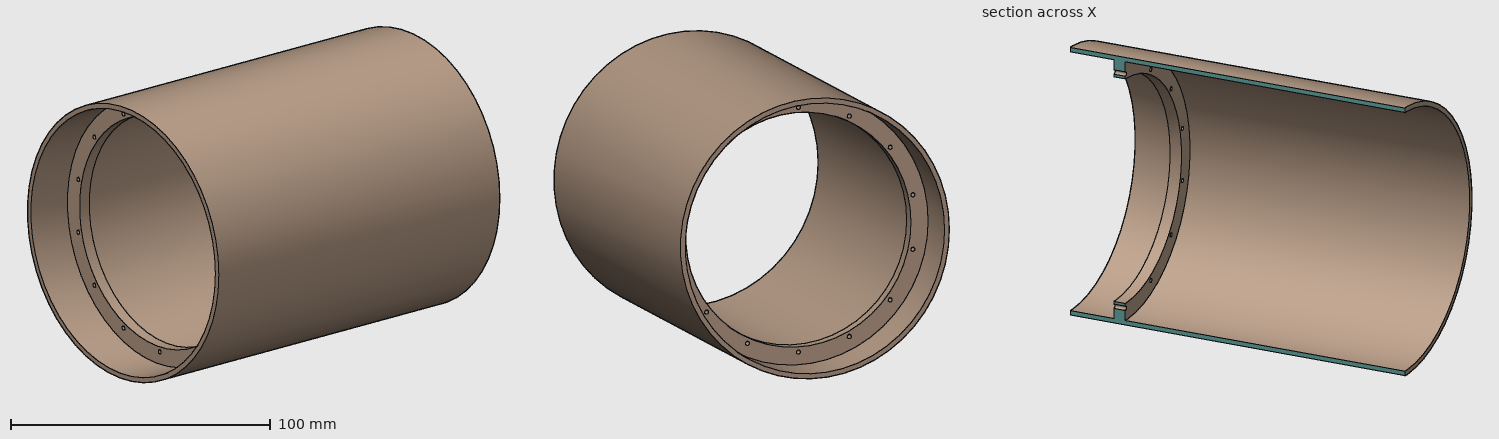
import cadquery as cq

outer_diameter = 110.0
length = 146.0
wall = 2.0

flange_setback = 19.0
flange_thickness = 5.0
flange_bore_diameter = 92.0

hole_count = 14
hole_diameter = 1.6
hole_circle_diameter = 96.0

front_end = -length / 2
flange_front = front_end + flange_setback
bore_diameter = outer_diameter - 2 * wall


def plane_at(y):
    """XZ plane at the given Y, extruding toward +Y, with local Y along -Z."""
    return cq.Workplane(cq.Plane(origin=(0, y, 0), xDir=(1, 0, 0), normal=(0, 1, 0)))


def make_tube():
    rod = plane_at(front_end).circle(outer_diameter / 2).extrude(length)
    bore = plane_at(front_end).circle(bore_diameter / 2).extrude(length)
    return rod.cut(bore)


def make_flange():
    rim_diameter = bore_diameter + wall
    disc = plane_at(flange_front).circle(rim_diameter / 2).extrude(flange_thickness)
    bore = plane_at(flange_front).circle(flange_bore_diameter / 2).extrude(flange_thickness)
    return disc.cut(bore)


def make_flange_holes():
    first_hole_angle = -90
    return (
        plane_at(flange_front)
        .polarArray(hole_circle_diameter / 2, first_hole_angle, 360, hole_count)
        .circle(hole_diameter / 2)
        .extrude(flange_thickness)
    )


result = make_tube().union(make_flange()).cut(make_flange_holes())